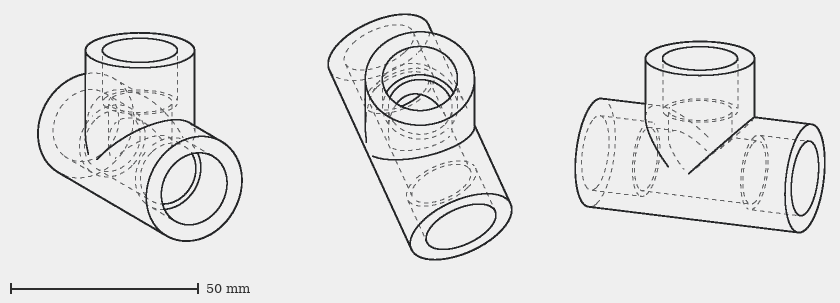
import cadquery as cq

run_length = 60.0
outer_diameter = 29.1
socket_diameter = 20.0
bore_diameter = 17.0
socket_depth = 14.5

arm_length = run_length / 2


def arm_cylinder(direction, diameter, start, end):
    """Cylinder around an arm's axis between two distances from the center."""
    origin = cq.Vector(*direction) * start
    plane = cq.Plane(origin=origin.toTuple(), xDir=(0, 1, 0), normal=direction)
    return cq.Workplane(plane).circle(diameter / 2).extrude(end - start)


left = (-1, 0, 0)
right = (1, 0, 0)
up = (0, 0, 1)

body = arm_cylinder(right, outer_diameter, -arm_length, arm_length)
body = body.union(arm_cylinder(up, outer_diameter, 0, arm_length))

body = body.cut(arm_cylinder(right, bore_diameter, -arm_length, arm_length))
body = body.cut(arm_cylinder(up, bore_diameter, 0, arm_length))

for direction in (left, right, up):
    body = body.cut(arm_cylinder(direction, socket_diameter, arm_length - socket_depth, arm_length))

result = body